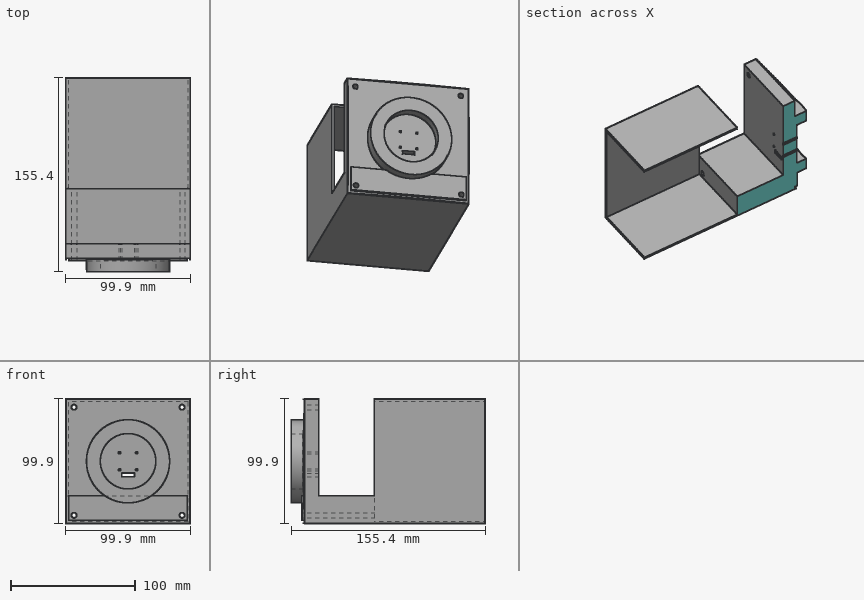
import cadquery as cq

side = 99.9
total_depth = 155.4
ring_height = 11.0
half = side / 2
back_y = total_depth / 2
ring_front_y = -total_depth / 2
face_y = ring_front_y + ring_height

tube_depth = 88.9
wall = 2.0
tube_front_y = back_y - tube_depth

plate_thickness = 11.3
base_height = 22.4
gap_front_y = face_y + plate_thickness
gap_depth = tube_front_y - gap_front_y

ring_diameter = 66.7
recess_diameter = 44.5
recess_depth = 8.9
bar_width = 94.6
bar_height = 19.7
bar_thickness = 2.3
bar_bottom_offset = 2.6

screw_diameter = 4.0
screw_edge_offset = 6.7
screw_spacing = side - 2 * screw_edge_offset
pin_diameter = 1.5
pin_spacing = 13.7
window_width = 10.0
window_height = 2.8
window_z = -10.9

lip_inset = 0.2
lip_thickness = 0.3
lip_end_height = 0.3
lip_mid_height = 1.4


def box(width, y_start, depth, height, z_bottom):
    """Box centred on X = 0, running from y_start towards +Y."""
    return (
        cq.Workplane("XY")
        .box(width, depth, height, centered=(True, False, False))
        .translate((0, y_start, z_bottom))
    )


def front_plane(y):
    """XZ plane at the given Y, with its normal towards -Y."""
    return cq.Workplane("XZ", origin=(0, y, 0))


def housing():
    inner = side - 2 * wall
    body = box(side, face_y, back_y - face_y, side, -half)
    cavity = box(inner, tube_front_y, tube_depth, inner, -half + wall)
    gap = box(side, gap_front_y, gap_depth, side - base_height, -half + base_height)
    return body.cut(cavity).cut(gap)


def arched_lip():
    """Lip along the top edge of the front face, highest at mid length."""
    end = half - lip_inset
    return (
        cq.Workplane("XY", origin=(0, 0, end - lip_thickness))
        .moveTo(-end, face_y)
        .lineTo(-end, face_y - lip_end_height)
        .threePointArc((0, face_y - lip_mid_height), (end, face_y - lip_end_height))
        .lineTo(end, face_y)
        .close()
        .extrude(lip_thickness)
    )


def through_holes(diameter, spacing):
    """Four holes at the corners of a square, running the full depth."""
    return (
        front_plane(back_y)
        .rect(spacing, spacing, forConstruction=True)
        .vertices()
        .circle(diameter / 2)
        .extrude(total_depth)
    )


result = housing()

for turn in range(4):
    result = result.union(arched_lip().rotate((0, 0, 0), (0, 1, 0), 90 * turn))

bar = box(bar_width, face_y - bar_thickness, bar_thickness, bar_height, -half + bar_bottom_offset)
ring = front_plane(face_y).circle(ring_diameter / 2).extrude(ring_height)
recess = front_plane(ring_front_y + recess_depth).circle(recess_diameter / 2).extrude(recess_depth)
result = result.union(bar).union(ring).cut(recess)

result = result.cut(through_holes(screw_diameter, screw_spacing))
result = result.cut(through_holes(pin_diameter, pin_spacing))
window = box(window_width, ring_front_y, gap_front_y - ring_front_y, window_height, window_z - window_height / 2)
result = result.cut(window)